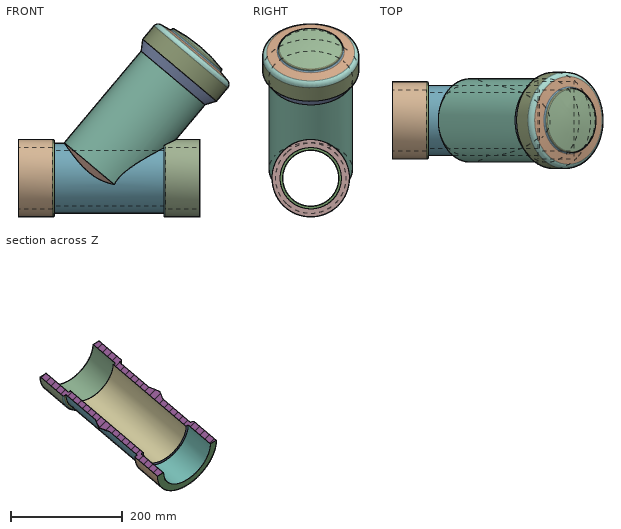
import cadquery as cq
import math

run_length = 325.0
run_radius = 126.0 / 2
bore_radius = 100.0 / 2
socket_radius = 139.0 / 2
socket_bore_radius = 110.0 / 2
socket_length = 64.5
socket_bore_depth = 61.5
socket_fillet = 3.0

branch_angle = 50.0
branch_crossing = 126.5
branch_start = 20.5
branch_length = 214.0
branch_radius = 150.0 / 2
branch_taper = 30.2

cap_radius = 173.0 / 2
cap_cone_height = 18.0
cap_rim_fillet = 10.0
cap_dome_radius = 377.5
cap_height = 67.5
button_radius = 116.0 / 2
button_dome_radius = 272.0
button_height = 6.8
button_base_fillet = 2.5
button_top_fillet = 2.0
radius_tolerance = 0.05

branch_direction = cq.Vector(
    math.cos(math.radians(branch_angle)), 0, math.sin(math.radians(branch_angle))
)


def branch_plane(distance):
    """Plane square to the branch axis, at a distance from the axis crossing."""
    origin = cq.Vector(branch_crossing, 0, 0) + branch_direction * distance
    return cq.Plane(origin=origin.toTuple(), xDir=(0, 1, 0), normal=branch_direction.toTuple())


def run_cylinder(radius, start, length):
    """Cylinder on the X axis."""
    return cq.Workplane("YZ", origin=(start, 0, 0)).circle(radius).extrude(length)


def make_housing():
    left_socket = run_cylinder(socket_radius, 0, socket_length).faces(">X").edges().fillet(socket_fillet)
    right_socket = left_socket.mirror("YZ").translate((run_length, 0, 0))
    branch = cq.Workplane(branch_plane(branch_start)).circle(branch_radius).extrude(branch_length)
    taper = cq.Workplane(
        cq.Solid.makeCone(
            branch_radius - branch_taper,
            branch_radius,
            branch_taper,
            branch_plane(branch_start - branch_taper).origin,
            branch_direction,
        )
    )
    branch = branch.union(taper)
    body = run_cylinder(run_radius, 0, run_length).union(left_socket).union(right_socket).union(branch)
    body = body.cut(run_cylinder(bore_radius, 0, run_length))
    for start in (0, run_length - socket_bore_depth):
        body = body.cut(run_cylinder(socket_bore_radius, start, socket_bore_depth))
    return body


def domed_cylinder(radius, crown_height, dome_radius):
    """Upright cylinder from Z = 0 with a spherical top of the given crown height."""
    dome = cq.Workplane("XY", origin=(0, 0, crown_height - dome_radius)).sphere(dome_radius)
    return cq.Workplane("XY").circle(radius).extrude(crown_height).intersect(dome)


def round_circle(body, radius, which, fillet):
    """Fillet the highest (">Z") or lowest ("<Z") circular edge of the given radius."""
    circles = body.edges("%CIRCLE").filter(lambda edge: abs(edge.radius() - radius) < radius_tolerance)
    return circles.edges(which).fillet(fillet)


def make_cap():
    cone = cq.Workplane(cq.Solid.makeCone(branch_radius, cap_radius, cap_cone_height))
    rim = domed_cylinder(cap_radius, cap_height - cap_cone_height, cap_dome_radius)
    button = domed_cylinder(button_radius, cap_height + button_height, button_dome_radius)
    cap = cone.union(rim.translate((0, 0, cap_cone_height))).union(button)
    cap = round_circle(cap, cap_radius, ">Z", cap_rim_fillet)
    cap = round_circle(cap, button_radius, "<Z", button_base_fillet)
    cap = round_circle(cap, button_radius, ">Z", button_top_fillet)
    return cap.val().moved(cq.Location(branch_plane(branch_start + branch_length)))


housing = make_housing()
cap = make_cap()
result = cq.Compound.makeCompound([housing.val(), cap])